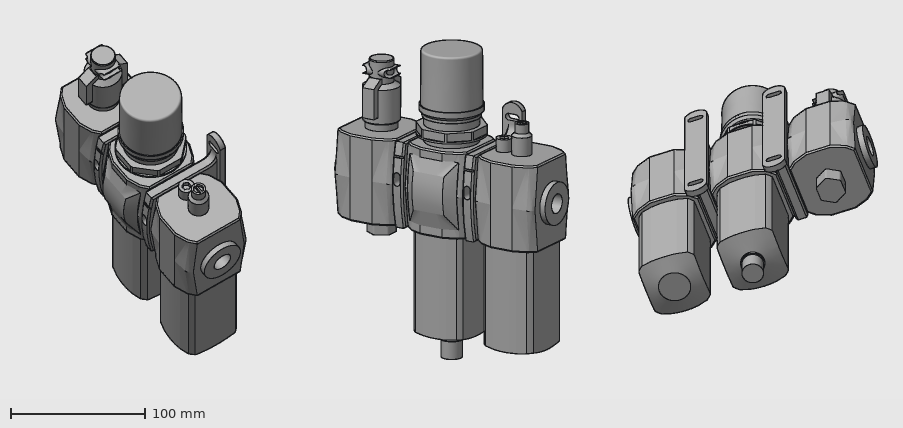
import cadquery as cq
import math


HALF_WIDTH = 26.2
HALF_HEIGHT = 34.0
FRONT_Y = 28.6
STRIP_HALF = 9.6
CORNER_LINE_X = 21.7
CORNER_LINE_Y = 27.5
CORNER_RISE = 0.7
SIDE_HALF_MID = 23.0
SIDE_HALF_END = 19.5
FACET_X = 20.5
FACET_Y = 24.5
RIM = 1.2

SPACER_WIDTH = 9.5
SPACER_X = HALF_WIDTH + SPACER_WIDTH / 2
MODULE_PITCH = 2 * HALF_WIDTH + SPACER_WIDTH
VALVE_X = -MODULE_PITCH
LUBRICATOR_X = MODULE_PITCH

OVERALL_LENGTH = 185.5
FLANGE_DIA = 33.0
PORT_DIA = 15.0
PORT_DEPTH = 24.0

TOP_Z = 105.5
KNOB_TOP_DIA = 46.2
KNOB_BASE_DIA = 47.0
KNOB_SKIRT_DIA = 48.8
KNOB_SKIRT_TOP = 62.8
KNOB_BASE_Z = 58.2
KNOB_ROUND = 1.7
COLLAR_DIA = 44.8
COLLAR_TOP = 56.0
COLLAR_BASE = 53.7
NECK_DIA = 42.0

BULGE_HALF_WIDTH = 13.5
BULGE_TOP = 15.9
BULGE_BASE = -14.2
BULGE_EDGE_Y = 32.2
BULGE_MIDDLE_Y = 34.2
BULGE_FACET_X = 7.2
BULGE_CORNER_Y = 24.0
BULGE_ROOT_Y = 21.7
BULGE_SLOPE_Z = 26.7

NUT_FLATS = 50.0
NUT_TOP = 47.2
NUT_BASE = 40.7
WASHER_DIA = 53.5
WASHER_BASE = 39.2

BOWL_HALF_WIDTH = 22.01
BOWL_FRONT_Y = 24.5
BOWL_SIDE_HALF = 16.5
BOWL_CORNER_RISE = 1.0
BOWL_CORNER_X = 17.0
BOWL_CORNER_Y = 22.1
BOWL_STRIP_HALF = 10.3
BOWL_STRIP_Y = 23.8
BOWL_CROWN_Z = -113.5
BOWL_BASE_Z = -119.0
BOWL_CROWN_RADIUS = 28.5
BOTTOM_Z = TOP_Z - 240.5
DRAIN_COLLAR_DIA = 18.0
DRAIN_COLLAR_Z = -121.0
DRAIN_DIA = 16.0
LUBRICATOR_BASE_RADIUS = 12.0

VALVE_NECK_DIA = 24.8
GRIP_DIA = 28.5
GRIP_BASE = 39.2
GRIP_TOP = 66.6
GRIP_CONE_TOP = 69.8
STEM_DIA = 18.5
STEM_TOP = 87.8
ROUND_EDGE = 1.0
ARM_HALF_WIDTH = 5.0
ARM_OUTER_Y = 18.8
ARM_INNER_Y = 7.2
ARM_BASE = 45.0
ARM_SHOULDER = 68.5
ARM_TOP_Y = 9.6
ARM_TOP = 74.0
LUG_Z = 78.7
LUG_WIDTH = 18.0
LUG_HEIGHT = 7.5
LUG_REACH = 12.0
LOCK_GROOVE_DIA = 6.0
LOCK_GROOVE_X = 7.7
EXHAUST_FLATS = 19.5
EXHAUST_BASE = -47.9
EXHAUST_ROUND = 2.0

PLUG_X = LUBRICATOR_X - 15.6
PLUG_DIA = 12.0
PLUG_TOP = 43.8
PLUG_SOCKET_FLATS = 6.0
PLUG_SOCKET_DEPTH = 3.5
DIAL_DIA = 15.5
DIAL_SHOULDER = 48.4
DIAL_CONE_TOP = 50.8
DIAL_STEM_DIA = 10.5
DIAL_TOP = 58.0
DIAL_SOCKET_DIA = 7.5
DIAL_SOCKET_DEPTH = 2.5
DIAL_BAR = 1.5

PLATE_HALF_WIDTH = 8.7
PLATE_HALF_HEIGHT = 59.0
PLATE_SHOULDER_Z = 53.2
PLATE_BACK_Y = 40.2
PLATE_FRONT_Y = 35.4
SLOT_LENGTH = 11.8
SLOT_WIDTH = 5.0
SLOT_Z = 47.5
WEB_FRONT_Y = -27.7
WEB_FRONT_END_Y = -23.5
WEB_HALF_HEIGHT = 33.7
WEB_FLARE = 7.7
WEB_BEVEL = 1.5
SCREW_HOLE_DIA = 5.5
SCREW_HOLE_LOW = 0.0
SCREW_HOLE_HIGH = 10.3
SCREW_HOLE_DEPTH = 9.6
CLAMP_GROOVE_Z = 22.4
CLAMP_GROOVE_HEIGHT = 1.5
CLAMP_GROOVE_DEPTH = 1.0
CLAMP_GROOVE_Y = -26.0


def cylinder(dia, z_low, z_high, x=0.0):
    """Upright cylinder between two heights."""
    return cq.Workplane("XY").workplane(offset=z_low).center(x, 0).circle(dia / 2).extrude(z_high - z_low)


def four_way(points):
    """Closed outline from the points of its +X +Y quarter, listed from the front strip to the side."""
    right = points + [(x, -y) for x, y in reversed(points)]
    return right + [(-x, y) for x, y in reversed(right)]


def end_outline():
    """Outline of a module block at its top and bottom: a strip, a facet and a cut corner."""
    return four_way([(STRIP_HALF, FRONT_Y), (FACET_X, FACET_Y), (HALF_WIDTH, SIDE_HALF_END)])


def waist_section(plane):
    """Outline of a module block at mid height, with rounded corners."""
    mid_x = (CORNER_LINE_X + HALF_WIDTH) / 2 + CORNER_RISE
    mid_y = (CORNER_LINE_Y + SIDE_HALF_MID) / 2 + CORNER_RISE
    sketch = plane.moveTo(-STRIP_HALF, FRONT_Y).lineTo(STRIP_HALF, FRONT_Y)
    sketch = sketch.lineTo(CORNER_LINE_X, CORNER_LINE_Y)
    sketch = sketch.threePointArc((mid_x, mid_y), (HALF_WIDTH, SIDE_HALF_MID))
    sketch = sketch.lineTo(HALF_WIDTH, -SIDE_HALF_MID)
    sketch = sketch.threePointArc((mid_x, -mid_y), (CORNER_LINE_X, -CORNER_LINE_Y))
    sketch = sketch.lineTo(STRIP_HALF, -FRONT_Y).lineTo(-STRIP_HALF, -FRONT_Y)
    sketch = sketch.lineTo(-CORNER_LINE_X, -CORNER_LINE_Y)
    sketch = sketch.threePointArc((-mid_x, -mid_y), (-HALF_WIDTH, -SIDE_HALF_MID))
    sketch = sketch.lineTo(-HALF_WIDTH, SIDE_HALF_MID)
    sketch = sketch.threePointArc((-mid_x, mid_y), (-CORNER_LINE_X, CORNER_LINE_Y))
    return sketch.close()


def block():
    """Module block: a straight core whose corners swell out towards mid height."""
    core = cq.Workplane("XY").polyline(end_outline()).close().extrude(HALF_HEIGHT, both=True)
    core = core.faces("|Z").chamfer(RIM)
    along = (CORNER_LINE_X - FACET_X) / (HALF_WIDTH - FACET_X)
    split_y = FACET_Y - along * (FACET_Y - SIDE_HALF_END)
    corner = [(FACET_X, FACET_Y), (CORNER_LINE_X, split_y), (HALF_WIDTH, SIDE_HALF_END)]
    quarter = four_way(corner)
    outline = quarter[-1:] + quarter[:-1]
    waist = waist_section(cq.Workplane("XY"))
    swelling = waist.workplane(offset=HALF_HEIGHT - RIM).polyline(outline).close().loft(ruled=True)
    return core.union(swelling).union(swelling.mirror("XY"))


def end_port(side):
    """Round port flange on the outer end of the valve (-1) or the lubricator (+1)."""
    start = LUBRICATOR_X + HALF_WIDTH
    plane = cq.Workplane("YZ").workplane(offset=side * start)
    return plane.circle(FLANGE_DIA / 2).extrude(side * (OVERALL_LENGTH / 2 - start))


def port_bore(side):
    """Blind bore entering through the flange on the given side."""
    plane = cq.Workplane("YZ").workplane(offset=side * OVERALL_LENGTH / 2)
    return plane.circle(PORT_DIA / 2).extrude(-side * PORT_DEPTH)


def bowl(base_radius):
    """Bowl hanging under a block, ending in a shallow cone with a flat of the given radius."""
    mid_x = (BOWL_HALF_WIDTH + BOWL_CORNER_X) / 2 + BOWL_CORNER_RISE
    mid_y = (BOWL_SIDE_HALF + BOWL_CORNER_Y) / 2 + BOWL_CORNER_RISE
    half = (
        cq.Workplane("XY").workplane(offset=BOWL_BASE_Z)
        .moveTo(-BOWL_HALF_WIDTH, 0)
        .lineTo(-BOWL_HALF_WIDTH, BOWL_SIDE_HALF)
        .threePointArc((-mid_x, mid_y), (-BOWL_CORNER_X, BOWL_CORNER_Y))
        .lineTo(-BOWL_STRIP_HALF, BOWL_STRIP_Y)
        .threePointArc((0, BOWL_FRONT_Y), (BOWL_STRIP_HALF, BOWL_STRIP_Y))
        .lineTo(BOWL_CORNER_X, BOWL_CORNER_Y)
        .threePointArc((mid_x, mid_y), (BOWL_HALF_WIDTH, BOWL_SIDE_HALF))
        .lineTo(BOWL_HALF_WIDTH, 0)
        .close()
        .extrude(-HALF_HEIGHT - BOWL_BASE_Z)
    )
    crown = (
        cq.Workplane("XZ")
        .polyline([
            (0, BOWL_BASE_Z),
            (base_radius, BOWL_BASE_Z),
            (BOWL_CROWN_RADIUS, BOWL_CROWN_Z),
            (BOWL_CROWN_RADIUS, 0),
            (0, 0),
        ])
        .close()
        .revolve(360, (0, 0, 0), (0, 1, 0))
    )
    return half.union(half.mirror("XZ")).intersect(crown)


def turned(profile):
    """Solid of revolution about Z from (radius, height) points, closed along the axis."""
    points = [(0, profile[0][1])] + profile + [(0, profile[-1][1])]
    return cq.Workplane("XZ").polyline(points).close().revolve(360, (0, 0, 0), (0, 1, 0))


def bulge():
    """Curved panel on the front of the regulator, with slanted flanks on all four sides."""
    def profile(offset, low, high, edge_y, middle_y):
        """Side profile of the bulge, its front edge an arc between two heights."""
        sketch = cq.Workplane("YZ").workplane(offset=offset).moveTo(-BULGE_ROOT_Y, low).lineTo(-edge_y, low)
        sketch = sketch.threePointArc((-middle_y, (low + high) / 2), (-edge_y, high))
        return sketch.lineTo(-BULGE_ROOT_Y, high).close()

    edge = profile(BULGE_HALF_WIDTH, BULGE_BASE, BULGE_TOP, BULGE_EDGE_Y, BULGE_MIDDLE_Y)
    panel = edge.extrude(-2 * BULGE_HALF_WIDTH)
    corner_line = profile(CORNER_LINE_X, -BULGE_SLOPE_Z, BULGE_SLOPE_Z, BULGE_CORNER_Y, CORNER_LINE_Y)
    flank = cq.Workplane(cq.Solid.makeLoft([edge.wire().val(), corner_line.wire().val()], True))
    whole = panel.union(flank).union(flank.mirror("YZ"))

    def both_sides(points):
        return points + [(-x, y) for x, y in reversed(points)]

    inner = both_sides([
        (BULGE_HALF_WIDTH, -BULGE_ROOT_Y),
        (BULGE_HALF_WIDTH, -BULGE_EDGE_Y),
        (BULGE_FACET_X, -BULGE_EDGE_Y),
    ])
    outer = both_sides([
        (CORNER_LINE_X, -BULGE_ROOT_Y),
        (CORNER_LINE_X, -BULGE_CORNER_Y),
        (STRIP_HALF, -FRONT_Y),
    ])
    for start, end in ((BULGE_TOP, BULGE_SLOPE_Z), (BULGE_BASE, -BULGE_SLOPE_Z)):
        slope = cq.Workplane("XY").workplane(offset=start).polyline(inner).close()
        slope = slope.workplane(offset=end - start).polyline(outer).close().loft(ruled=True)
        whole = whole.union(slope)
    return whole


def knob():
    """Threaded neck with the adjusting knob on top."""
    knob_body = turned([
        (NECK_DIA / 2, HALF_HEIGHT),
        (NECK_DIA / 2, COLLAR_BASE),
        (COLLAR_DIA / 2, COLLAR_BASE),
        (COLLAR_DIA / 2, COLLAR_TOP),
        (KNOB_SKIRT_DIA / 2, KNOB_BASE_Z),
        (KNOB_SKIRT_DIA / 2, KNOB_SKIRT_TOP),
        (KNOB_BASE_DIA / 2, KNOB_SKIRT_TOP),
        (KNOB_TOP_DIA / 2, TOP_Z),
    ])
    return knob_body.faces(">Z").edges().fillet(KNOB_ROUND)


def drain():
    """Collar and round drain outlet under the regulator bowl."""
    return turned([
        (DRAIN_DIA / 2, BOTTOM_Z),
        (DRAIN_DIA / 2, DRAIN_COLLAR_Z),
        (DRAIN_COLLAR_DIA / 2, DRAIN_COLLAR_Z),
        (DRAIN_COLLAR_DIA / 2, BOWL_BASE_Z),
    ])


regulator = block().union(bulge()).union(knob())
regulator = regulator.union(bowl(DRAIN_COLLAR_DIA / 2)).union(drain())


def panel_nut():
    """Octagon nut with a flange, threaded on the neck of the regulator."""
    across_corners = NUT_FLATS / math.cos(math.pi / 8)
    octagon = cq.Workplane("XY").workplane(offset=NUT_BASE).polygon(8, across_corners)
    octagon = octagon.extrude(NUT_TOP - NUT_BASE).rotate((0, 0, 0), (0, 0, 1), 180 / 8)
    octagon = octagon.intersect(cylinder(WASHER_DIA, NUT_BASE, NUT_TOP))
    flange = cylinder(WASHER_DIA, WASHER_BASE, NUT_BASE)
    return octagon.union(flange).cut(cylinder(NECK_DIA, WASHER_BASE, NUT_TOP))


nut = panel_nut()


def grip():
    """Round slide grip with its neck and stem."""
    return turned([
        (VALVE_NECK_DIA / 2, HALF_HEIGHT),
        (VALVE_NECK_DIA / 2, GRIP_BASE),
        (GRIP_DIA / 2 - ROUND_EDGE, GRIP_BASE),
        (GRIP_DIA / 2, GRIP_BASE + ROUND_EDGE),
        (GRIP_DIA / 2, GRIP_TOP),
        (STEM_DIA / 2, GRIP_CONE_TOP),
        (STEM_DIA / 2, STEM_TOP - ROUND_EDGE),
        (STEM_DIA / 2 - ROUND_EDGE / 2, STEM_TOP),
    ])


def grip_arm():
    """Upright arm behind the grip, its top slanting in to the stem."""
    return (
        cq.Workplane("YZ")
        .polyline([
            (ARM_INNER_Y, ARM_BASE),
            (ARM_OUTER_Y, ARM_BASE),
            (ARM_OUTER_Y, ARM_SHOULDER),
            (ARM_TOP_Y, ARM_TOP),
            (ARM_INNER_Y, ARM_TOP),
        ])
        .close()
        .extrude(ARM_HALF_WIDTH, both=True)
    )


def lock_lug():
    """Oblong lug through the stem, with a padlock groove across each end."""
    lug = cq.Workplane("YZ").center(0, LUG_Z).slot2D(LUG_WIDTH, LUG_HEIGHT).extrude(LUG_REACH, both=True)
    for side in (-1, 1):
        groove = (
            cq.Workplane("XZ").center(side * (LOCK_GROOVE_X + LUG_REACH), LUG_Z)
            .slot2D(2 * LUG_REACH, LOCK_GROOVE_DIA).extrude(LUG_WIDTH, both=True)
        )
        lug = lug.cut(groove)
    return lug


def exhaust():
    """Six-sided exhaust fitting under the valve, with rounded corners."""
    across_corners = EXHAUST_FLATS / math.cos(math.pi / 6)
    fitting = cq.Workplane("XY").workplane(offset=EXHAUST_BASE).polygon(6, across_corners)
    fitting = fitting.extrude(-HALF_HEIGHT - EXHAUST_BASE).rotate((0, 0, 0), (0, 0, 1), 30)
    return fitting.edges("|Z").fillet(EXHAUST_ROUND)


arm = grip_arm()
valve = block().union(grip()).union(arm).union(arm.mirror("XZ")).union(lock_lug()).union(exhaust())
valve = valve.translate((VALVE_X, 0, 0)).union(end_port(-1)).cut(port_bore(-1))


def fill_plug():
    """Round fill plug with a hexagon socket."""
    plug = cylinder(PLUG_DIA, HALF_HEIGHT, PLUG_TOP, PLUG_X)
    across_corners = PLUG_SOCKET_FLATS / math.cos(math.pi / 6)
    socket = cq.Workplane("XY").workplane(offset=PLUG_TOP).center(PLUG_X, 0).polygon(6, across_corners)
    return plug.cut(socket.extrude(-PLUG_SOCKET_DEPTH))


def drip_dial():
    """Stepped dial with a round socket and a bar across it."""
    dial = turned([
        (DIAL_DIA / 2, HALF_HEIGHT),
        (DIAL_DIA / 2, DIAL_SHOULDER),
        (DIAL_STEM_DIA / 2, DIAL_CONE_TOP),
        (DIAL_STEM_DIA / 2, DIAL_TOP),
    ])
    socket = cylinder(DIAL_SOCKET_DIA, DIAL_TOP - DIAL_SOCKET_DEPTH, DIAL_TOP)
    bar = cq.Workplane("XY").box(DIAL_SOCKET_DIA, DIAL_BAR, 2 * DIAL_TOP)
    return dial.cut(socket.cut(bar)).translate((LUBRICATOR_X, 0, 0))


lubricator = block().union(bowl(LUBRICATOR_BASE_RADIUS)).translate((LUBRICATOR_X, 0, 0))
lubricator = lubricator.union(fill_plug()).union(drip_dial()).union(end_port(1)).cut(port_bore(1))


def mounting_plate():
    """Upright back plate with arched ends and two oblong screw slots."""
    plate = (
        cq.Workplane("XZ").workplane(offset=-PLATE_BACK_Y)
        .moveTo(-PLATE_HALF_WIDTH, -PLATE_SHOULDER_Z)
        .lineTo(-PLATE_HALF_WIDTH, PLATE_SHOULDER_Z)
        .threePointArc((0, PLATE_HALF_HEIGHT), (PLATE_HALF_WIDTH, PLATE_SHOULDER_Z))
        .lineTo(PLATE_HALF_WIDTH, -PLATE_SHOULDER_Z)
        .threePointArc((0, -PLATE_HALF_HEIGHT), (-PLATE_HALF_WIDTH, -PLATE_SHOULDER_Z))
        .close()
        .extrude(PLATE_BACK_Y - PLATE_FRONT_Y)
    )
    slots = (
        cq.Workplane("XZ").workplane(offset=-PLATE_BACK_Y)
        .pushPoints([(0, SLOT_Z), (0, -SLOT_Z)])
        .slot2D(SLOT_LENGTH, SLOT_WIDTH)
        .extrude(PLATE_BACK_Y - PLATE_FRONT_Y)
    )
    return plate.cut(slots)


def spacer_web():
    """Spacer between two blocks, flaring out where it meets the plate."""
    flare_start = PLATE_FRONT_Y - WEB_FLARE
    flare_top = WEB_HALF_HEIGHT + WEB_FLARE
    diagonal = WEB_FLARE * math.sqrt(0.5)
    web = (
        cq.Workplane("YZ")
        .moveTo(WEB_FRONT_END_Y, -WEB_HALF_HEIGHT)
        .threePointArc((WEB_FRONT_Y, 0), (WEB_FRONT_END_Y, WEB_HALF_HEIGHT))
        .lineTo(flare_start, WEB_HALF_HEIGHT)
        .threePointArc((flare_start + diagonal, flare_top - diagonal), (PLATE_FRONT_Y, flare_top))
        .lineTo(PLATE_FRONT_Y, -flare_top)
        .threePointArc((flare_start + diagonal, diagonal - flare_top), (flare_start, -WEB_HALF_HEIGHT))
        .close()
        .extrude(SPACER_WIDTH / 2, both=True)
    )
    return web.faces("|X").edges("not >Y").chamfer(WEB_BEVEL)


def screw_hole():
    """Oblong blind hole for the clamp screw in the front of the web."""
    length = SCREW_HOLE_HIGH - SCREW_HOLE_LOW
    plane = cq.Workplane("XZ").workplane(offset=-WEB_FRONT_Y).center(0, SCREW_HOLE_LOW + length / 2)
    return plane.slot2D(length, SCREW_HOLE_DIA, 90).extrude(-SCREW_HOLE_DEPTH)


def bracket():
    """Plate and spacer web in one piece, with a clamp groove across the front of the web."""
    groove = cq.Workplane("XY").box(SPACER_WIDTH, 2 * CLAMP_GROOVE_DEPTH, CLAMP_GROOVE_HEIGHT)
    groove = groove.translate((0, CLAMP_GROOVE_Y, CLAMP_GROOVE_Z))
    return mounting_plate().union(spacer_web()).cut(screw_hole()).cut(groove)


brackets = [bracket().translate((x, 0, 0)) for x in (-SPACER_X, SPACER_X)]

result = cq.Compound.makeCompound([
    valve.val(),
    regulator.val(),
    nut.val(),
    lubricator.val(),
    *[body.val() for body in brackets],
])